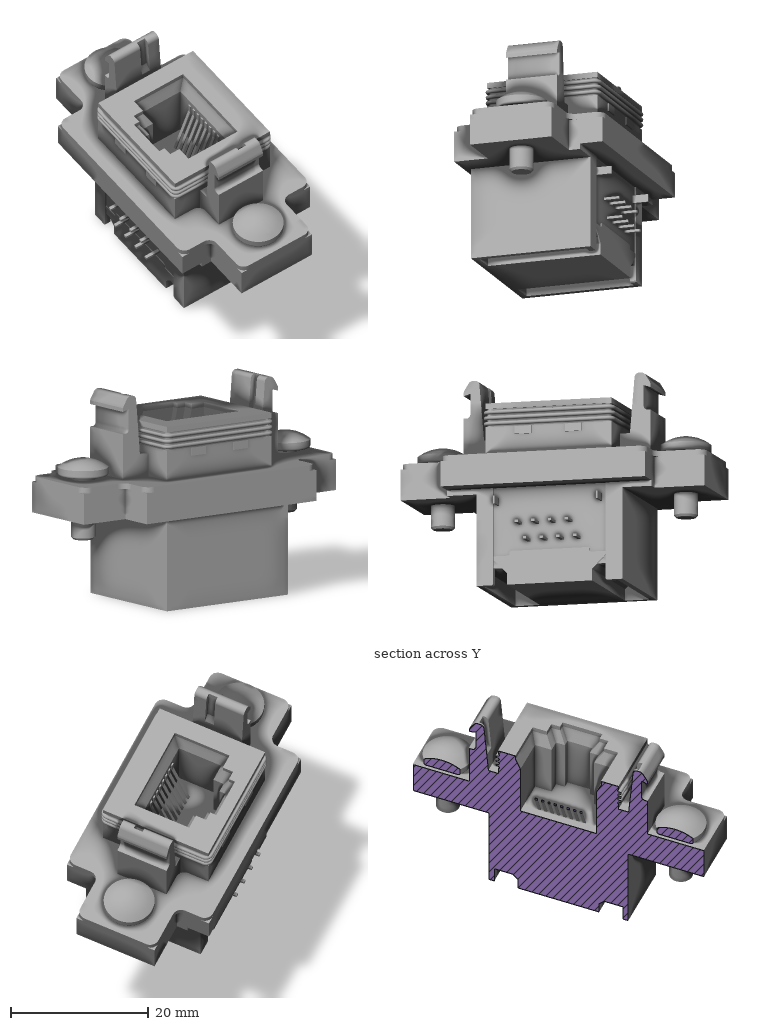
import cadquery as cq


SIDES = (-1, 1)

flange_length = 46.1
flange_width = 23.0
centre_length = 31.0
wing_width = 12.65
flange_thickness = 5.4
front_lip_thickness = 4.55
rim_depth = 0.85
rim_radius = 1.35

skirt_length = 22.15
skirt_front = -8.0
skirt_back = 10.5
skirt_bottom = -18.95
skirt_width = skirt_back - skirt_front

panel_half = 8.55
panel_recess = 0.25
panel_bottom = -16.45
panel_y = skirt_front + panel_recess
plate_proud = 0.15
plate_top = -13.95
plate_shoulder = -14.65
plate_top_half = 6.1
plate_notch_bevel = 0.2
plate_slope_top = -15.15
plate_bottom_half = 6.45
plate_slope_bottom = plate_slope_top - (panel_half - plate_bottom_half)
pin_tip_y = -10.15
pin_width = 0.5
pin_height = 0.35
pin_pitch = 2.55
pins_per_row = 4
pin_row_z = (-9.95, -12.5)
post_x = 7.8
post_width = 0.25
post_height = 1.15
post_z = -6.65

channel_half = 10.15
channel_wall = 0.95
channel_mouth_chamfer = 0.2

block_length = 19.1
block_width = 17.05
block_height = 7.95
gasket_bottom = 4.43
gasket_top = 7.1
gasket_inset = 0.15
gasket_corner_radius = 0.55
rib_proud = 0.4
rib_height = 0.5
rib_pitch = 0.85
rib_count = 3
tab_length = 2.55
tab_height = 1.15
tab_proud = 0.2
tab_x = 3.83
tab_z = 3.8

socket_lip = 0.75
bevel_depth = 1.7
socket_floor = -3.0
socket_outer = {"halves": (6.78, 4.5, 3.15), "levels": (4.75, -4.1, -5.75, -6.75)}
socket_inner = {"halves": (6.0, 3.35, 2.0), "levels": (3.7, -3.15, -4.8, -5.75)}
contact_count = 8
contact_pitch = 1.0
contact_width = 0.45
contact_thickness = 0.2
contact_top = 4.7
contact_bend = 3.5
contact_foot_y = 0.88

latch_width = 7.98
latch_outer = 14.15
latch_inner = 11.05
latch_inner_top = 11.75
latch_ledge = 3.3
latch_height = 12.2
latch_tip_radius = 0.7
hook_crown = 12.85
hook_crown_middle = (13.2, 12.1)
hook_slope_top = (13.4, 11.85)
hook_slope_bottom = (13.95, 10.95)
hook_nose_z = 10.55
hook_tip_z = 10.0
hook_root_z = 10.33
latch_neck = 13.15
neck_bottom = 6.7
neck_fillet = 0.6
slot_width = 1.45
slot_mid_y = 1.35
slot_back_top = 12.65
slot_back_bottom = 12.15
slot_ramp_top = 7.15
slot_ramp_bottom = 6.1

screw_x = 18.45
shaft_diameter = 3.55
shaft_bottom = -8.9
shaft_chamfer = 0.3
head_diameter = 7.4
head_bottom = 0.55
head_edge = 1.8
head_crown = 3.1
head_fillet = 0.35


def box(x0, x1, y0, y1, z0, z1):
    """Axis-aligned box between two corners."""
    return cq.Workplane("XY").box(x1 - x0, y1 - y0, z1 - z0, centered=False).translate((x0, y0, z0))


def centred_block(length, width, z0, z1):
    """Block centred on the Z axis between two heights."""
    return box(-length / 2, length / 2, -width / 2, width / 2, z0, z1)


def make_flange():
    """Cross-shaped flange with a thinner front lip and a top rim with rounded corners."""
    base_top = -rim_depth
    base = centred_block(centre_length, flange_width, -flange_thickness, base_top)
    base = base.union(centred_block(flange_length, wing_width, -flange_thickness, base_top))
    rim = centred_block(centre_length, flange_width, base_top, 0)
    rim = rim.union(centred_block(flange_length, wing_width, base_top, 0))
    rim = rim.edges("|Z").fillet(rim_radius)
    under_lip = box(
        -centre_length / 2, centre_length / 2, -flange_width / 2, skirt_front,
        -flange_thickness, -front_lip_thickness,
    )
    return base.union(rim).cut(under_lip)


def make_skirt():
    """Rectangular housing below the flange."""
    half = skirt_length / 2
    return box(-half, half, skirt_front, skirt_back, skirt_bottom, -rim_depth)


def front_recess():
    """Shallow recess that forms the front panel, up to the flange's lip."""
    return box(-panel_half, panel_half, skirt_front, panel_y, skirt_bottom, -front_lip_thickness)


def side_channel(side):
    """Open-bottomed channel beside the jack, wider behind the front wall."""
    slope_x = panel_half - (plate_slope_top - panel_bottom)
    mouth_outline = [
        (side * panel_half, panel_bottom),
        (side * slope_x, panel_bottom),
        (side * plate_bottom_half, plate_slope_bottom),
        (side * plate_bottom_half, skirt_bottom),
        (side * (panel_half + channel_mouth_chamfer), skirt_bottom),
        (side * panel_half, skirt_bottom + channel_mouth_chamfer),
    ]
    length = skirt_width - channel_wall
    mouth = cq.Workplane("XZ", origin=(0, skirt_front, 0)).polyline(mouth_outline).close().extrude(-length)
    y0 = skirt_front + channel_wall
    y1 = skirt_back - channel_wall
    lower_x = sorted((side * plate_bottom_half, side * channel_half))
    upper_x = sorted((side * slope_x, side * channel_half))
    lower = box(*lower_x, y0, y1, skirt_bottom, plate_slope_bottom)
    upper = box(*upper_x, y0, y1, plate_slope_bottom, panel_bottom)
    return mouth.union(lower).union(upper)


def make_plate():
    """Thin raised plate on the lower part of the front panel."""
    right_edge = [
        (plate_top_half - plate_notch_bevel, plate_top),
        (plate_top_half, plate_top - plate_notch_bevel),
        (plate_top_half, plate_shoulder + plate_notch_bevel),
        (plate_top_half + plate_notch_bevel, plate_shoulder),
        (panel_half, plate_shoulder),
        (panel_half, plate_slope_top),
        (plate_bottom_half, plate_slope_bottom),
        (plate_bottom_half, skirt_bottom),
    ]
    left_edge = [(-x, z) for x, z in reversed(right_edge)]
    panel = cq.Workplane("XZ", origin=(0, panel_y, 0))
    return panel.polyline(right_edge + left_edge).close().extrude(plate_proud)


def make_pins():
    """Two staggered rows of solder pins and two flat posts."""
    pin_length = panel_y - pin_tip_y
    row_middle = (pins_per_row - 1) / 2
    pin_points = []
    for stagger, z in zip((-1, 1), pin_row_z):
        for i in range(pins_per_row):
            pin_points.append(((i - row_middle) * pin_pitch + stagger * pin_pitch / 4, z))
    panel = cq.Workplane("XZ", origin=(0, panel_y, 0))
    pins = panel.pushPoints(pin_points).rect(pin_width, pin_height).extrude(pin_length)
    post_points = [(side * post_x, post_z) for side in SIDES]
    posts = panel.pushPoints(post_points).rect(post_width, post_height).extrude(pin_length)
    return pins.union(posts)


def make_gasket():
    """Wavy seal swept around the block: half-round ribs with half-round valleys between them."""
    core_x = block_length / 2 - gasket_inset
    core_y = block_width / 2 - gasket_inset
    path = (
        cq.Workplane("XY", origin=(0, 0, gasket_bottom))
        .moveTo(0, -core_y)
        .lineTo(core_x - gasket_corner_radius, -core_y)
        .radiusArc((core_x, -core_y + gasket_corner_radius), -gasket_corner_radius)
        .lineTo(core_x, core_y - gasket_corner_radius)
        .radiusArc((core_x - gasket_corner_radius, core_y), -gasket_corner_radius)
        .lineTo(-core_x + gasket_corner_radius, core_y)
        .radiusArc((-core_x, core_y - gasket_corner_radius), -gasket_corner_radius)
        .lineTo(-core_x, -core_y + gasket_corner_radius)
        .radiusArc((-core_x + gasket_corner_radius, -core_y), -gasket_corner_radius)
        .close()
    )

    crest_radius = rib_height / 2
    valley_radius = (rib_pitch - rib_height) / 2
    crest_y = -block_width / 2 - rib_proud
    crest_start_y = crest_y + crest_radius
    valley_start_y = -core_y - valley_radius
    first_rib_z = (gasket_bottom + gasket_top) / 2 - (rib_count - 1) / 2 * rib_pitch
    section = cq.Workplane("YZ").moveTo(-core_y, gasket_bottom)
    section = section.lineTo(-core_y, first_rib_z - crest_radius - valley_radius)
    for i in range(rib_count):
        rib_z = first_rib_z + i * rib_pitch
        rib_low = rib_z - crest_radius
        rib_high = rib_z + crest_radius
        section = (
            section
            .radiusArc((valley_start_y, rib_low), -valley_radius)
            .lineTo(crest_start_y, rib_low)
            .threePointArc((crest_y, rib_z), (crest_start_y, rib_high))
            .lineTo(valley_start_y, rib_high)
            .radiusArc((-core_y, rib_high + valley_radius), -valley_radius)
        )
    inner_y = -core_y + gasket_inset
    section = section.lineTo(-core_y, gasket_top).lineTo(inner_y, gasket_top)
    section = section.lineTo(inner_y, gasket_bottom).close()
    return section.sweep(path)


def make_socket_block():
    """Block above the flange with a three-rib gasket and snap tabs on both long sides."""
    block = centred_block(block_length, block_width, -rim_depth, block_height)
    band = centred_block(block_length, block_width, gasket_bottom, gasket_top)
    band_core = centred_block(
        block_length - 2 * gasket_inset, block_width - 2 * gasket_inset, gasket_bottom, gasket_top
    )
    band_core = band_core.edges("|Z").fillet(gasket_corner_radius)
    block = block.cut(band.cut(band_core))
    block = block.union(make_gasket())

    for side in SIDES:
        tab = centred_block(tab_length, block_width + 2 * tab_proud, -tab_height / 2, tab_height / 2)
        block = block.union(tab.translate((side * tab_x, 0, tab_z)))
    return block


def socket_outline(shape):
    """Plug outline: a wide rectangle that steps in twice toward the front."""
    wide, middle, narrow = shape["halves"]
    back, wide_front, middle_front, narrow_front = shape["levels"]
    right = [
        (wide, back),
        (wide, wide_front),
        (middle, wide_front),
        (middle, middle_front),
        (narrow, middle_front),
        (narrow, narrow_front),
    ]
    return right + [(-x, y) for x, y in reversed(right)]


def socket_opening():
    """Straight lip, bevelled throat and straight well."""
    bevel_top = block_height - socket_lip
    bevel_bottom = bevel_top - bevel_depth
    outer = socket_outline(socket_outer)
    inner = socket_outline(socket_inner)
    lip = cq.Workplane("XY", origin=(0, 0, bevel_top)).polyline(outer).close().extrude(socket_lip)
    throat = (
        cq.Workplane("XY", origin=(0, 0, bevel_top)).polyline(outer).close()
        .workplane(offset=-bevel_depth).polyline(inner).close().loft(ruled=True)
    )
    well = cq.Workplane("XY", origin=(0, 0, socket_floor)).polyline(inner).close()
    return lip.union(throat).union(well.extrude(bevel_bottom - socket_floor))


def make_contacts():
    """Row of spring contacts that run down the back wall and then lean out to the socket floor."""
    wall_y = socket_inner["levels"][0]
    outline = [
        (wall_y, contact_top),
        (wall_y - contact_thickness, contact_top),
        (wall_y - contact_thickness, contact_bend),
        (contact_foot_y, socket_floor),
        (contact_foot_y + contact_thickness, socket_floor),
        (wall_y, contact_bend),
    ]
    contact = cq.Workplane("YZ").polyline(outline).close().extrude(contact_width / 2, both=True)
    contacts = cq.Workplane("XY")
    for i in range(contact_count):
        contacts = contacts.union(contact.translate(((i - (contact_count - 1) / 2) * contact_pitch, 0, 0)))
    return contacts


def make_latch():
    """Hooked latch on the +X side with a keying slot in its inner face."""
    tip_mid = latch_inner_top + latch_tip_radius
    profile = (
        cq.Workplane("XZ")
        .moveTo(block_length / 2 - gasket_inset, -rim_depth)
        .lineTo(block_length / 2 - gasket_inset, latch_ledge)
        .lineTo(latch_inner, latch_ledge)
        .lineTo(latch_inner_top, latch_height - latch_tip_radius)
        .radiusArc((tip_mid, latch_height), latch_tip_radius)
        .lineTo(hook_crown, latch_height)
        .threePointArc(hook_crown_middle, hook_slope_top)
        .lineTo(*hook_slope_bottom)
        .tangentArcPoint((latch_outer, hook_nose_z), relative=False)
        .lineTo(latch_outer, hook_tip_z)
        .lineTo(latch_neck, hook_root_z)
        .lineTo(latch_neck, neck_bottom + neck_fillet)
        .radiusArc((latch_neck + neck_fillet, neck_bottom), -neck_fillet)
        .lineTo(latch_outer, neck_bottom)
        .lineTo(latch_outer, -rim_depth)
        .close()
    )
    latch = profile.extrude(latch_width / 2, both=True)
    slot_outline = [
        (slot_back_top, latch_height),
        (slot_back_bottom, slot_ramp_top),
        (latch_inner, slot_ramp_bottom),
        (latch_inner, latch_height),
    ]
    slot = cq.Workplane("XZ").polyline(slot_outline).close().extrude(slot_width / 2, both=True)
    return latch.cut(slot.translate((0, slot_mid_y, 0)))


def corner_relief(side_x, side_y):
    """Gap where the flange's rim is rounded beside the corner between a latch and the socket block."""
    corner_x = side_x * block_length / 2
    corner_y = side_y * latch_width / 2
    end_x = corner_x + side_x * rim_radius
    end_y = corner_y + side_y * rim_radius
    square = box(*sorted((corner_x, end_x)), *sorted((corner_y, end_y)), -rim_depth, 0)
    rounding = cq.Workplane("XY", origin=(end_x, end_y, -rim_depth)).circle(rim_radius).extrude(rim_depth)
    return square.cut(rounding)


def make_screw():
    """Domed-head screw on the Z axis, revolved from its half profile."""
    shaft_radius = shaft_diameter / 2
    head_radius = head_diameter / 2
    dome_radius = (head_radius**2 + (head_crown - head_edge) ** 2) / (2 * (head_crown - head_edge))
    return (
        cq.Workplane("XZ")
        .moveTo(0, shaft_bottom)
        .lineTo(shaft_radius - shaft_chamfer, shaft_bottom)
        .lineTo(shaft_radius, shaft_bottom + shaft_chamfer)
        .lineTo(shaft_radius, head_bottom)
        .lineTo(head_radius - head_fillet, head_bottom)
        .radiusArc((head_radius, head_bottom + head_fillet), -head_fillet)
        .lineTo(head_radius, head_edge)
        .radiusArc((0, head_crown), -dome_radius)
        .close()
        .revolve(360, (0, 0, 0), (0, 1, 0))
    )


housing = make_flange().union(make_skirt()).cut(front_recess())
for side in SIDES:
    housing = housing.cut(side_channel(side))
    for side_y in SIDES:
        housing = housing.cut(corner_relief(side, side_y))
housing = housing.union(make_plate()).union(make_pins())

housing = housing.union(make_socket_block()).cut(socket_opening()).union(make_contacts())

latch = make_latch()
housing = housing.union(latch).union(latch.mirror("YZ"))
screw = make_screw()
for side in SIDES:
    housing = housing.union(screw.translate((side * screw_x, 0, 0)))

result = housing